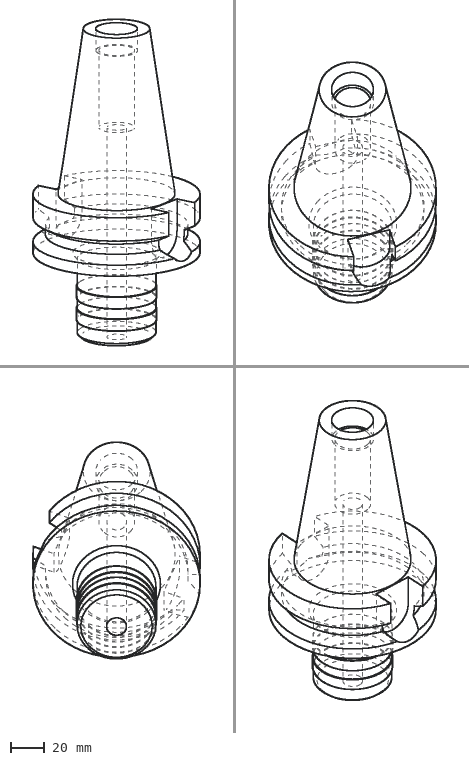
import cadquery as cq

total_height = 191.8

flange_diameter = 100.0
flange_radius = flange_diameter / 2
flange_bottom_z = 52.4
lower_rim_top_z = 59.3
groove_floor_bottom_z = 63.9
groove_floor_top_z = 70.2
upper_rim_bottom_z = 74.2
flange_top_z = 88.8
groove_radius = 42.5

taper_base_z = 89.8
taper_base_radius = 35.0
taper_tip_radius = 20.0

nose_radius = 23.5
collar_radius = 26.3
collar_chamfer_bottom_z = 49.0
nose_chamfer_height = 2.7
nose_chamfer_width = 2.3
nose_end_rise = 0.5

band_radius = 24.0
band_height = 7.7
band_bevel = 0.29
band_bottoms = (10.4, 24.2)

through_radius = 6.0
counterbore_radius = 12.5
counterbore_depth = 13.5
thread_bore_radius = 10.7
thread_bore_depth = 61.4

slot_width = 25.9
slot_floor_x = 35.3
slot_bottom_z = 56.0


def make_body():
    """Revolve the outer profile, listed from the nose up to the taper tip."""
    profile = [
        (0, 0),
        (through_radius, 0),
        (nose_radius - nose_chamfer_width, nose_end_rise),
        (nose_radius, nose_chamfer_height),
        (nose_radius, collar_chamfer_bottom_z),
        (collar_radius, flange_bottom_z),
        (flange_radius, flange_bottom_z),
        (flange_radius, lower_rim_top_z),
        (groove_radius, groove_floor_bottom_z),
        (groove_radius, groove_floor_top_z),
        (flange_radius, upper_rim_bottom_z),
        (flange_radius, flange_top_z),
        (taper_base_radius, flange_top_z),
        (taper_base_radius, taper_base_z),
        (taper_tip_radius, total_height),
        (0, total_height),
    ]
    return cq.Workplane("XZ").polyline(profile).close().revolve(360, (0, 0), (0, 1))


def cylinder(radius, bottom_z, height):
    """Upright cylinder on the part axis."""
    return cq.Workplane("XY").workplane(offset=bottom_z).circle(radius).extrude(height)


def bore_from_tip(radius, depth):
    """Cylinder reaching down from the taper tip."""
    return cylinder(radius, total_height - depth, depth)


def make_drive_slot():
    """Round-bottomed slot on the +X side, open at the flange top and rim."""
    half_width = slot_width / 2
    arc_center_z = slot_bottom_z + half_width
    return (
        cq.Workplane("YZ", origin=(slot_floor_x, 0, 0))
        .moveTo(-half_width, flange_top_z)
        .lineTo(-half_width, arc_center_z)
        .threePointArc((0, slot_bottom_z), (half_width, arc_center_z))
        .lineTo(half_width, flange_top_z)
        .close()
        .extrude(flange_radius)
    )


result = make_body()

for band_bottom_z in band_bottoms:
    band = cylinder(band_radius, band_bottom_z, band_height).edges().chamfer(band_bevel)
    result = result.union(band)

result = result.cut(bore_from_tip(through_radius, total_height))
result = result.cut(bore_from_tip(thread_bore_radius, thread_bore_depth))
result = result.cut(bore_from_tip(counterbore_radius, counterbore_depth))

drive_slot = make_drive_slot()
result = result.cut(drive_slot).cut(drive_slot.mirror("YZ"))